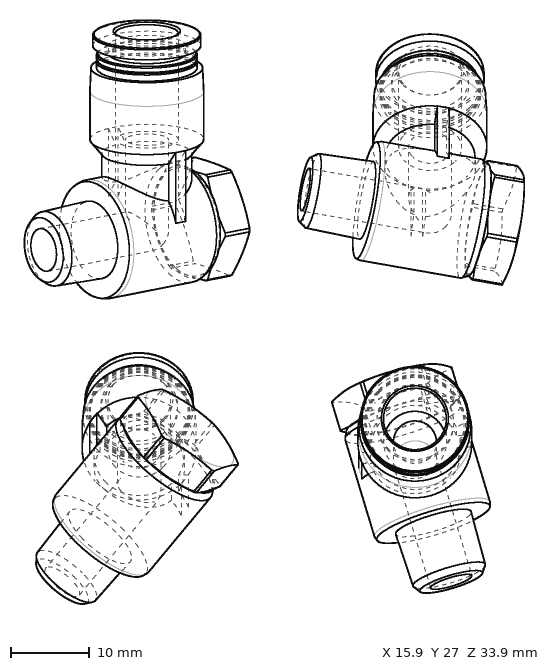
import cadquery as cq
import math


body_radius = 15.4 / 2
body_front = -8.3
body_back = 6.27
front_chamfer_length = 0.55
front_chamfer_depth = 0.17
back_chamfer_length = 0.9
back_chamfer_depth = 0.45

hex_flats = 14.0
hex_corner_diameter = 15.9
hex_back = 10.68
hex_chamfer_length = 0.27

spigot_end = -16.3
spigot_base_radius = 5.02
spigot_tip_radius = 4.8
spigot_chamfer_length = 0.9
spigot_end_radius = 4.17

column_radius = 11.5 / 2
sleeve_radius = 14.5 / 2
sleeve_top_radius = 7.12
cone_bottom = 10.07
sleeve_bottom = 11.9
sleeve_shoulder = 18.3
sleeve_top = 21.35

ring_radius = 12.8 / 2
ring_groove_depth = 0.17
ring_groove_bottom = 22.17
ring_groove_top = 22.5
ring_top = 23.25
ring_edge = 0.17
neck_radius = 9.8 / 2
flange_radius = 13.8 / 2
flange_bottom = 24.3
flange_edge = 25.63
flange_edge_chamfer = 0.17
overall_height = 33.9
socket_top = overall_height - body_radius

bore_radius = 5.5 / 2
tube_hole_radius = 8.0 / 2
tube_hole_bottom = sleeve_bottom
tube_hole_chamfer = 0.27

rib_thickness = 1.53


def revolve_about_z(points):
    """Revolve a closed (radius, height) outline about the Z axis."""
    return cq.Workplane("XZ").polyline(points).close().revolve(360, (0, 0), (0, 1))


def revolve_about_y(points):
    """Revolve a closed (radius, y) outline about the Y axis."""
    return cq.Workplane("XY").polyline(points).close().revolve(360, (0, 0), (0, 1))


def make_body():
    return revolve_about_y([
        (0, body_front),
        (body_radius - front_chamfer_depth, body_front),
        (body_radius, body_front + front_chamfer_length),
        (body_radius, body_back - back_chamfer_length),
        (body_radius - back_chamfer_depth, body_back),
        (0, body_back),
    ])


def make_spigot():
    return revolve_about_y([
        (0, spigot_end),
        (spigot_end_radius, spigot_end),
        (spigot_tip_radius, spigot_end + spigot_chamfer_length),
        (spigot_base_radius, body_front),
        (0, body_front),
    ])


def make_hex_head():
    corner_to_corner = hex_flats / math.cos(math.radians(30))
    prism = (
        cq.Workplane("XZ", origin=(0, hex_back, 0))
        .polygon(6, corner_to_corner)
        .extrude(hex_back - body_back)
    )
    blank = revolve_about_y([
        (0, body_back),
        (hex_flats / 2, body_back),
        (hex_corner_diameter / 2, body_back + hex_chamfer_length),
        (hex_corner_diameter / 2, hex_back - hex_chamfer_length),
        (hex_flats / 2, hex_back),
        (0, hex_back),
    ])
    return prism.intersect(blank)


def make_socket():
    groove_middle = (ring_groove_bottom + ring_groove_top) / 2
    return revolve_about_z([
        (0, 0),
        (column_radius, 0),
        (column_radius, cone_bottom),
        (sleeve_radius, sleeve_bottom),
        (sleeve_radius, sleeve_shoulder),
        (sleeve_top_radius, sleeve_top),
        (ring_radius, sleeve_top),
        (ring_radius, ring_groove_bottom),
        (ring_radius - ring_groove_depth, groove_middle),
        (ring_radius, ring_groove_top),
        (ring_radius, ring_top - ring_edge),
        (ring_radius - ring_edge, ring_top),
        (neck_radius, ring_top),
        (neck_radius, flange_bottom),
        (flange_radius, flange_bottom),
        (flange_radius, flange_edge),
        (flange_radius - flange_edge_chamfer, flange_edge + flange_edge_chamfer),
        (tube_hole_radius + tube_hole_chamfer, socket_top),
        (0, socket_top),
    ])


def make_ribs():
    return cq.Workplane("XY").rect(2 * sleeve_radius, rib_thickness).extrude(sleeve_bottom)


def make_bores():
    elbow = cq.Workplane("XY").sphere(bore_radius)
    spigot_bore = cq.Workplane("XZ").circle(bore_radius).extrude(-spigot_end)
    socket_bore = cq.Workplane("XY").circle(bore_radius).extrude(tube_hole_bottom)
    tube_hole = revolve_about_z([
        (0, tube_hole_bottom),
        (tube_hole_radius, tube_hole_bottom),
        (tube_hole_radius, socket_top - tube_hole_chamfer),
        (tube_hole_radius + tube_hole_chamfer, socket_top),
        (0, socket_top),
    ])
    return elbow.union(spigot_bore).union(socket_bore).union(tube_hole)


result = (
    make_body()
    .union(make_spigot())
    .union(make_hex_head())
    .union(make_socket())
    .union(make_ribs())
    .cut(make_bores())
)